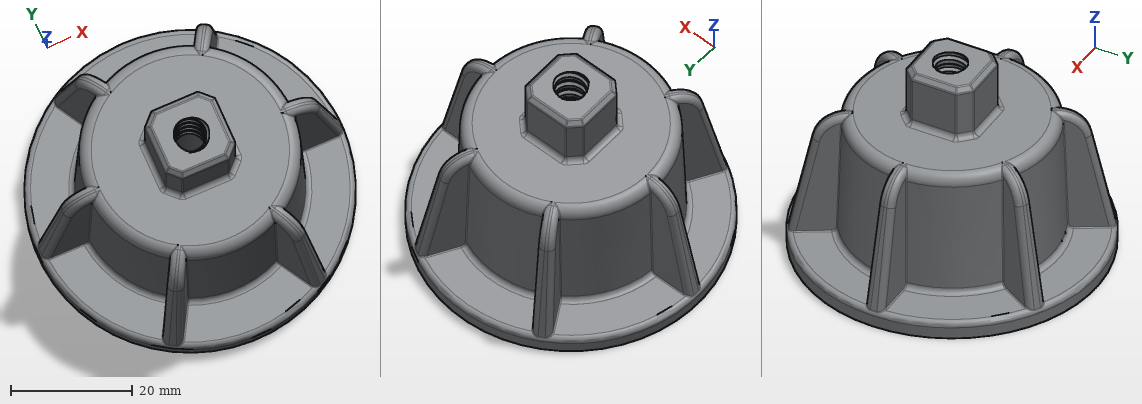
import cadquery as cq
import math

flange_diameter = 54.75
flange_height = 3.4
flange_top_fillet = 1.0
flange_bottom_fillet = 0.3

body_top = 26.6
body_draft = math.radians(2)
body_base_radius = 19.1
body_top_fillet = 2.0
body_base_fillet = 1.0

rib_count = 6
rib_foot_radius = 27.0
rib_lean = math.radians(12.2)
rib_shoulder_radius = 6.0
rib_base_width = 3.4
rib_side_draft = math.radians(1)
rib_edge_fillet = 1.1
rib_root_fillet = 0.2
rib_inner_radius = 10.0
rib_sink = 1.0

overall_height = 36.6
post_width = 12.7
post_corner_chamfer = 2.15
post_top_chamfer = 0.9
post_edge_fillet = 0.4
post_base_fillet = 1.0

bore_diameter = 5.4
thread_length = overall_height - body_top
thread_depth = 0.5
thread_pitch = 2.4
thread_root_width = 0.6
thread_mouth_width = 1.6
thread_overlap = 0.2
thread_top_angle = -45.0

level_tolerance = 0.05


def level_box(z, half_size):
    """Selector for edges lying at height z within a square around the axis."""
    return cq.selectors.BoxSelector(
        (-half_size, -half_size, z - level_tolerance),
        (half_size, half_size, z + level_tolerance),
        boundingbox=True,
    )


def make_flange():
    disc = cq.Workplane("XY").circle(flange_diameter / 2).extrude(flange_height)
    disc = disc.edges(">Z").fillet(flange_top_fillet)
    return disc.edges("<Z").fillet(flange_bottom_fillet)


def make_body():
    height = body_top - flange_height
    body_top_radius = body_base_radius - height * math.tan(body_draft)
    cone = (
        cq.Workplane("XZ")
        .moveTo(0, flange_height)
        .lineTo(body_base_radius, flange_height)
        .lineTo(body_top_radius, body_top)
        .lineTo(0, body_top)
        .close()
        .revolve(360, (0, 0, 0), (0, 1, 0))
    )
    return cone.edges(">Z").fillet(body_top_fillet)


def make_rib():
    """One rib on +X: leaning outer edge, round shoulder and drafted sides."""
    rib_bottom = flange_height - rib_sink
    shoulder_z = body_top - rib_shoulder_radius * (1 - math.sin(rib_lean))
    shoulder_x = rib_foot_radius - (shoulder_z - flange_height) * math.tan(rib_lean)
    arc_center_x = shoulder_x - rib_shoulder_radius * math.cos(rib_lean)
    arc_center_z = body_top - rib_shoulder_radius
    arc_mid_angle = (math.pi / 2 + rib_lean) / 2
    arc_mid = (
        arc_center_x + rib_shoulder_radius * math.cos(arc_mid_angle),
        arc_center_z + rib_shoulder_radius * math.sin(arc_mid_angle),
    )
    bottom_x = rib_foot_radius + rib_sink * math.tan(rib_lean)
    outline = (
        cq.Workplane("XZ")
        .moveTo(rib_inner_radius, rib_bottom)
        .lineTo(bottom_x, rib_bottom)
        .lineTo(shoulder_x, shoulder_z)
        .threePointArc(arc_mid, (arc_center_x, body_top))
        .lineTo(rib_inner_radius, body_top)
        .close()
        .extrude(rib_base_width, both=True)
    )
    half_bottom = rib_base_width / 2 + rib_sink * math.tan(rib_side_draft)
    half_top = rib_base_width / 2 - (body_top - flange_height) * math.tan(rib_side_draft)
    section = (
        cq.Workplane("YZ")
        .moveTo(-half_bottom, rib_bottom)
        .lineTo(half_bottom, rib_bottom)
        .lineTo(half_top, body_top)
        .lineTo(-half_top, body_top)
        .close()
        .extrude(flange_diameter)
    )
    rib = outline.intersect(section)
    outer_edges = cq.selectors.BoxSelector(
        (shoulder_x - rib_shoulder_radius, -rib_base_width, rib_bottom + rib_sink),
        (flange_diameter, rib_base_width, overall_height),
    )
    return rib.edges(outer_edges).edges("not #Z").fillet(rib_edge_fillet)


def make_post():
    """Square post with cut corners and a chamfered, softened top."""
    post = (
        cq.Workplane("XY")
        .workplane(offset=body_top)
        .rect(post_width, post_width)
        .extrude(overall_height - body_top)
        .edges("|Z")
        .chamfer(post_corner_chamfer)
        .edges(">Z")
        .chamfer(post_top_chamfer)
    )
    return post.edges("not <Z").fillet(post_edge_fillet)


def add_body(flange):
    part = flange.union(make_body())
    foot = level_box(flange_height, body_base_radius + level_tolerance)
    return part.edges(foot).fillet(body_base_fillet)


def add_ribs(part):
    rib = make_rib()
    for i in range(rib_count):
        part = part.union(rib.rotate((0, 0, 0), (0, 0, 1), i * 360 / rib_count))
    rib_feet = part.edges(level_box(flange_height, flange_diameter / 2)).edges("%LINE")
    return part.newObject(rib_feet.vals()).fillet(rib_root_fillet)


def add_post(part):
    foot = level_box(body_top, post_width / 2 + level_tolerance)
    return part.union(make_post()).edges(foot).fillet(post_base_fillet)


def make_thread_groove():
    """Right-hand trapezoidal groove that runs out through the top of the post."""
    bore_radius = bore_diameter / 2
    start_z = overall_height - thread_length
    groove_length = thread_length + thread_pitch
    helix = cq.Wire.makeHelix(thread_pitch, groove_length, bore_radius).translate(
        cq.Vector(0, 0, start_z)
    )
    flank_slope = (thread_mouth_width - thread_root_width) / 2 / thread_depth
    half_root = thread_root_width / 2
    half_inner = thread_mouth_width / 2 + thread_overlap * flank_slope
    root_radius = bore_radius + thread_depth
    inner_radius = bore_radius - thread_overlap
    groove = (
        cq.Workplane("XZ")
        .moveTo(inner_radius, start_z - half_inner)
        .lineTo(root_radius, start_z - half_root)
        .lineTo(root_radius, start_z + half_root)
        .lineTo(inner_radius, start_z + half_inner)
        .close()
        .sweep(cq.Workplane(helix), isFrenet=True)
    )
    turns_to_top = thread_length / thread_pitch
    return groove.rotate((0, 0, 0), (0, 0, 1), thread_top_angle - 360 * turns_to_top)


def cut_bore(part):
    drill = cq.Workplane("XY").circle(bore_diameter / 2).extrude(overall_height)
    return part.cut(make_thread_groove()).cut(drill)


part = add_body(make_flange())
part = add_ribs(part)
part = add_post(part)
result = cut_bore(part)